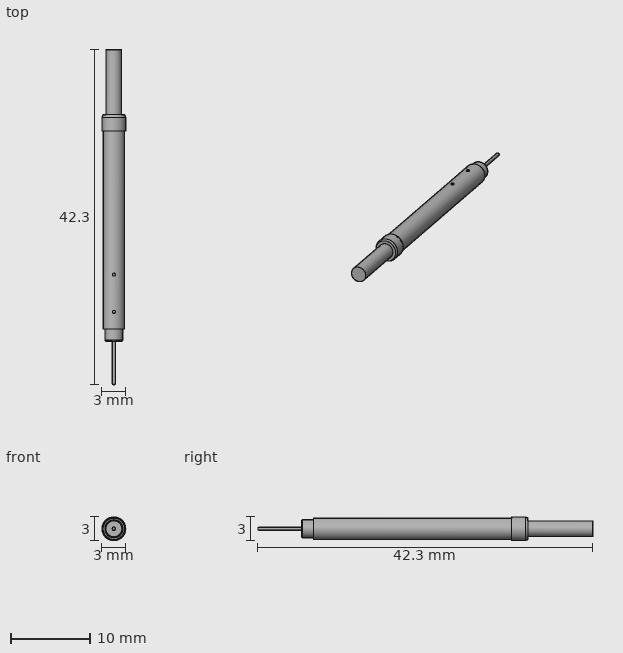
import cadquery as cq

total_length = 42.3

stem_end = 8.2
collar_end = 10.3
body_end = 35.28
nose_end = 36.8

stem_diameter = 2.0
collar_diameter = 3.0
body_diameter = 2.7
nose_diameter = 2.3
needle_diameter = 0.42

collar_bevel_length = 0.35
collar_bevel_depth = 0.13
nose_bevel_length = 0.15
nose_bevel_depth = 0.13
needle_tip_radius = needle_diameter / 2

hole_diameter = 0.4
hole_depth = 0.1
hole_distances = (28.4, 33.08)

rear_y = total_length / 2


def y_at(distance):
    """Y position at a given distance from the rear end."""
    return rear_y - distance


def cylinder(diameter, start, end):
    """Round section on the Y axis between two distances from the rear end."""
    return (
        cq.Workplane("XZ", origin=(0, y_at(start), 0))
        .circle(diameter / 2)
        .extrude(end - start)
    )


def make_collar():
    """Collar with a shallow bevel on its rear edge."""
    collar = cylinder(collar_diameter, stem_end, collar_end)
    return collar.faces(">Y").edges().chamfer(collar_bevel_length, collar_bevel_depth)


def make_nose():
    """Nose with a small bevel on its front edge."""
    nose = cylinder(nose_diameter, body_end, nose_end)
    return nose.faces("<Y").edges().chamfer(nose_bevel_length, nose_bevel_depth)


def make_needle():
    """Needle with a hemispherical tip."""
    tip_start = total_length - needle_tip_radius
    shaft = cylinder(needle_diameter, nose_end, tip_start)
    tip = cq.Workplane("XY", origin=(0, y_at(tip_start), 0)).sphere(needle_tip_radius)
    return shaft.union(tip)


def make_body_hole(distance):
    """Cutter for one blind hole entering the body from above."""
    floor_z = body_diameter / 2 - hole_depth
    return (
        cq.Workplane("XY", origin=(0, y_at(distance), floor_z))
        .circle(hole_diameter / 2)
        .extrude(body_diameter)
    )


stem = cylinder(stem_diameter, 0, stem_end)
collar = make_collar()
body = cylinder(body_diameter, collar_end, body_end)
nose = make_nose()
needle = make_needle()

for distance in hole_distances:
    body = body.cut(make_body_hole(distance))

result = stem.union(collar).union(body).union(nose).union(needle)